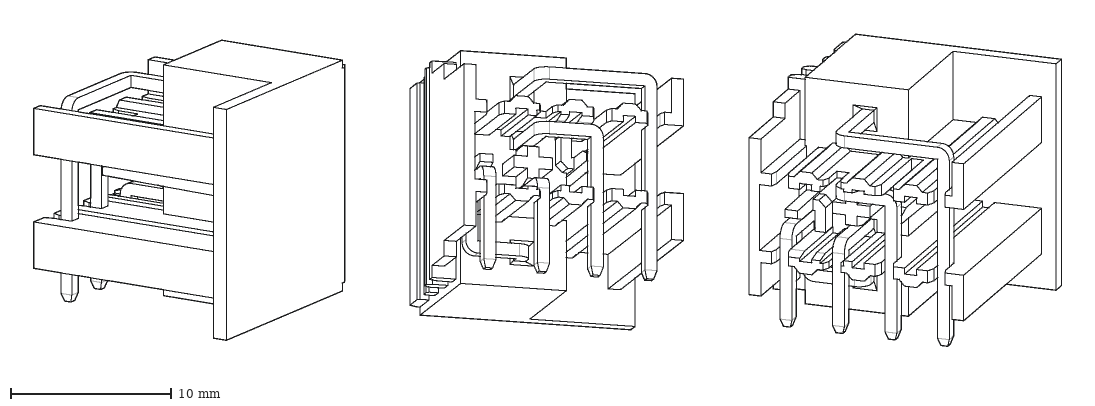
import cadquery as cq

LENGTH_X = 14.8
WIDTH_Y = 15.3
HEIGHT_Z = 14.96
MID_Z = HEIGHT_Z / 2

FLANGE_THICKNESS = 0.96
FLANGE_X = LENGTH_X - FLANGE_THICKNESS
BODY_FRONT_X = 5.88
BODY_Y = (6.87, 13.75)

PITCH = 3.5
PIN_SIZE = 0.8
CENTER_Y = 9.76
COLUMNS_Y = [CENTER_Y + PITCH * step for step in (1, 0, -1, -2)]
PIN_LEG_X = 1.55
PIN_TIP_HEIGHT = 0.52
PIN_TIP_SIZE = 0.46
ARCH_Z = 6.25
CONTACT_DEPTH = 0.76
FUNNEL_SIZE = 1.58
FUNNEL_DEPTH = 0.55

WALL = 0.8
WING_Y = 0.96
WING_INNER_Z = 2.17
WING_OUTER_Z = 5.19
PLATE_END_X = 6.93
PLATE_STEP_X = 4.3
PLATE_STEP_Z = 6.18
CHANNEL_RELIEF = 0.08
SLOT_FLARE = 0.21
OUTER_SLOT_FLARE = 0.14
SLOT_FLARE_LENGTH = 0.52

RIDGE_HEIGHT = 0.4
RIDGE_TOP = 0.83
RIDGE_BASE = 1.56
GROOVE_WIDTH = 0.8
GROOVE_DEPTH = 0.4
RAMP_LENGTH = 0.9
RAMP_DROP = 0.2

CROSS_X = 3.41
CROSS_THICKNESS = 0.76
CROSS_HALF_WIDTH = 1.25
CROSS_HALF_HEIGHT = 1.29
CROSS_TIP_HALF_HEIGHT = 1.03
CROSS_TAPER_LENGTH = 0.95
BLADE_X = 2.02
BLADE_WIDTH = 0.85
BLADE_HEIGHT = 0.81
BLADE_TIP_DROP = 0.29
BLADE_TAPER_LENGTH = 0.8
BLADE_SLOPE_DROP = 0.18
ARM_X = 4.7
ARM_WEB = 0.7
ARM_CHAMFER = 0.45
ARM_RISE = 0.09

TAB_WIDTH = 0.8
TAB_HALF_HEIGHT = 6.96
BLUNT_TAB_X = 8.69
SHORT_TAB_X = 10.77
END_TAB_X = 12.78
BLUNT_TAB_TIP_Y = 15.1
SHORT_TAB_TIP_Y = WIDTH_Y - WALL
SMALL_CHAMFER = (0.15, 0.15)
TABS = [
    ((PLATE_END_X, PLATE_END_X + TAB_WIDTH), WIDTH_Y, None, (0.25, 0.55)),
    ((BLUNT_TAB_X, BLUNT_TAB_X + TAB_WIDTH), BLUNT_TAB_TIP_Y, (0.14, 0.34), (0.28, 0.34)),
    ((SHORT_TAB_X, SHORT_TAB_X + TAB_WIDTH), SHORT_TAB_TIP_Y, SMALL_CHAMFER, SMALL_CHAMFER),
    ((END_TAB_X, LENGTH_X), SHORT_TAB_TIP_Y, SMALL_CHAMFER, (0.3, 0.52)),
]


def box(x_range, y_range, z_range):
    """Axis-aligned block between the given limits."""
    size = [high - low for low, high in (x_range, y_range, z_range)]
    corner = (x_range[0], y_range[0], z_range[0])
    return cq.Workplane("XY").box(*size, centered=False).translate(corner)


def around(center, size):
    return (center - size / 2, center + size / 2)


def extrude_x(points, start, end):
    """Prism along X from (y, z) points."""
    return cq.Workplane("YZ").polyline(points).close().extrude(end - start).translate((start, 0, 0))


def extrude_y(points, y_range):
    """Prism along Y from (x, z) points."""
    prism = cq.Workplane("XZ").polyline(points).close().extrude(y_range[0] - y_range[1])
    return prism.translate((0, y_range[0], 0))


def extrude_z(points, z_range):
    """Prism along Z from (x, y) points."""
    prism = cq.Workplane("XY").polyline(points).close().extrude(z_range[1] - z_range[0])
    return prism.translate((0, 0, z_range[0]))


def turned(shape):
    """Copy turned half a revolution about the X direction through the contact centre."""
    return shape.rotate((0, CENTER_Y, MID_Z), (1, CENTER_Y, MID_Z), 180)


def mirrored_z(shape):
    """Copy reflected about mid-height."""
    return shape.mirror("XY", (0, 0, MID_Z))


def upper_wing():
    """Upper wing of the -Y side, running from the free end to the flange."""
    return box((0, FLANGE_X), (WING_Y, WING_Y + WALL), (MID_Z + WING_INNER_Z, MID_Z + WING_OUTER_Z))


def flared_slot(column, end_x, flares, z_range):
    """Cutter for one pin slot, opening out at the free end by a flare on each side."""
    low, high = around(column, PIN_SIZE)
    outline = [
        (0, low - flares[0]),
        (SLOT_FLARE_LENGTH, low),
        (end_x, low),
        (end_x, high),
        (SLOT_FLARE_LENGTH, high),
        (0, high + flares[1]),
    ]
    return extrude_z(outline, z_range)


def upper_shelf(slot_ends):
    """Slotted plate with a ridge on its outer face and a groove on its inner face per strip.

    The slot ends are X positions, one per contact column.
    """
    z_low = MID_Z + WING_INNER_Z
    z_high = z_low + WALL
    plate_inner_y = WIDTH_Y - WALL
    shelf = box((0, FLANGE_X), (WING_Y, BODY_Y[0]), (z_low, z_high))
    shelf = shelf.union(box((0, PLATE_END_X), (BODY_Y[0], plate_inner_y), (z_low, z_high)))

    for strip in range(3):
        center = (COLUMNS_Y[strip] + COLUMNS_Y[strip + 1]) / 2
        ridge = [
            (center - RIDGE_BASE / 2, z_high),
            (center - RIDGE_TOP / 2, z_high + RIDGE_HEIGHT),
            (center + RIDGE_TOP / 2, z_high + RIDGE_HEIGHT),
            (center + RIDGE_BASE / 2, z_high),
        ]
        shelf = shelf.union(extrude_x(ridge, 0, FLANGE_X))
        groove = box((0, FLANGE_X), around(center, GROOVE_WIDTH), (z_low, z_low + GROOVE_DEPTH))
        shelf = shelf.cut(groove)

    for index, column in enumerate(COLUMNS_Y):
        flares = [SLOT_FLARE, SLOT_FLARE]
        if index == 3:
            flares[0] = OUTER_SLOT_FLARE
        if index == 0:
            flares[1] = OUTER_SLOT_FLARE
        shelf = shelf.cut(flared_slot(column, slot_ends[index], flares, (z_low, z_high)))
    return shelf


def lead_in_ramp():
    """Cutter for the ramp under the upper strip between the second and third columns."""
    z_low = MID_Z + WING_INNER_Z
    profile = [(0, z_low), (0, z_low + RAMP_DROP), (RAMP_LENGTH, z_low)]
    return extrude_y(profile, (COLUMNS_Y[2], COLUMNS_Y[1]))


def contact_notch():
    """Cutter clearing the upper shelf in front of the contact funnel."""
    z_low = MID_Z + WING_INNER_Z
    z_high = MID_Z + PITCH / 2 + FUNNEL_SIZE / 2
    return box((0, BODY_FRONT_X), around(CENTER_Y, FUNNEL_SIZE), (z_low, z_high))


def side_plate():
    """Stepped plate on the +Y side with a shallow channel between the shelves."""
    y_range = (WIDTH_Y - WALL, WIDTH_Y)
    plate = box((0, PLATE_END_X), y_range, around(MID_Z, 2 * WING_OUTER_Z))
    return plate.union(box((PLATE_STEP_X, PLATE_END_X), y_range, around(MID_Z, 2 * PLATE_STEP_Z)))


def channel():
    """Cutter for the clearance between side plate and body."""
    y_range = (BODY_Y[1] - CHANNEL_RELIEF, WIDTH_Y - WALL + CHANNEL_RELIEF)
    return box((0, PLATE_END_X), y_range, around(MID_Z, 2 * WING_INNER_Z))


def tab(x_range, tip_y, near_corner, far_corner):
    """Upright tab with chamfered tip corners; the low-X corner may stay square."""
    near_tip = [(x_range[0], tip_y)]
    if near_corner:
        near_tip = [(x_range[0], tip_y - near_corner[1]), (x_range[0] + near_corner[0], tip_y)]
    outline = [
        (x_range[0], BODY_Y[1]),
        *near_tip,
        (x_range[1] - far_corner[0], tip_y),
        (x_range[1], tip_y - far_corner[1]),
        (x_range[1], BODY_Y[1]),
    ]
    return extrude_z(outline, around(MID_Z, 2 * TAB_HALF_HEIGHT))


def funnel(center_z):
    """Square lead-in around a contact, narrowing into the body."""
    mouth = cq.Workplane("YZ", origin=(BODY_FRONT_X, CENTER_Y, center_z))
    mouth = mouth.rect(FUNNEL_SIZE, FUNNEL_SIZE)
    return mouth.workplane(offset=FUNNEL_DEPTH).rect(PIN_SIZE, PIN_SIZE).loft(ruled=True)


def below_upper_contact():
    """Zone under the upper inner contact, where its funnel is closed."""
    contact_bottom = MID_Z + PITCH / 2 - PIN_SIZE / 2
    return box((0, FLANGE_X), around(CENTER_Y, FUNNEL_SIZE), (MID_Z, contact_bottom))


def pin(corners):
    """Square wire through the corner points, rounded outside and sharp inside each bend."""
    points = [cq.Vector(*corner) for corner in corners]
    half = PIN_SIZE / 2
    last = len(points) - 2
    wire = None
    for index in range(last + 1):
        start, end = points[index], points[index + 1]
        direction = (end - start).normalized()
        low = start if index == 0 else start + direction * half
        high = end if index == last else end - direction * half
        side = (0, 1, 0) if direction.y == 0 else (0, 0, 1)
        section = cq.Workplane(cq.Plane(low.toTuple(), side, direction.toTuple()))
        leg = section.rect(PIN_SIZE, PIN_SIZE).extrude((high - low).Length)
        wire = leg if wire is None else wire.union(leg)
        if index < last:
            following = (points[index + 2] - end).normalized()
            inner = end + (following - direction) * half
            axis = direction.cross(following)
            cylinder = cq.Solid.makeCylinder(PIN_SIZE, PIN_SIZE, inner - axis * half, axis)
            cube = cq.Workplane("XY").box(PIN_SIZE, PIN_SIZE, PIN_SIZE).translate(end.toTuple())
            wire = wire.union(cube.intersect(cq.Workplane(cylinder)))
    tip = cq.Workplane("XY", origin=corners[0]).rect(PIN_SIZE, PIN_SIZE)
    tip = tip.workplane(offset=-PIN_TIP_HEIGHT).rect(PIN_TIP_SIZE, PIN_TIP_SIZE).loft(ruled=True)
    return wire.union(tip)


def cross_key():
    """Cross-shaped key in front of the body with a tapered vertical bar."""
    shoulder_x = CROSS_X + CROSS_TAPER_LENGTH
    vertical = [
        (CROSS_X, MID_Z - CROSS_TIP_HALF_HEIGHT),
        (CROSS_X, MID_Z + CROSS_TIP_HALF_HEIGHT),
        (shoulder_x, MID_Z + CROSS_HALF_HEIGHT),
        (BODY_FRONT_X, MID_Z + CROSS_HALF_HEIGHT),
        (BODY_FRONT_X, MID_Z - CROSS_HALF_HEIGHT),
        (shoulder_x, MID_Z - CROSS_HALF_HEIGHT),
    ]
    key = extrude_y(vertical, around(CENTER_Y, CROSS_THICKNESS))
    horizontal = box((CROSS_X, BODY_FRONT_X), around(CENTER_Y, 2 * CROSS_HALF_WIDTH),
                     around(MID_Z, CROSS_THICKNESS))
    return key.union(horizontal)


def polarising_arm():
    """Tapered blade in the third column, hung from the upper shelf by a chamfered web."""
    top = MID_Z + BLADE_HEIGHT
    bottom = MID_Z + ARM_RISE
    outer_y = COLUMNS_Y[2] - PIN_SIZE / 2
    inner_y = outer_y + BLADE_WIDTH
    profile = [
        (BLADE_X, MID_Z),
        (BLADE_X, top - BLADE_TIP_DROP),
        (BLADE_X + BLADE_TAPER_LENGTH, top),
        (FLANGE_X, top),
        (FLANGE_X, MID_Z - BLADE_SLOPE_DROP),
    ]
    blade = extrude_y(profile, (outer_y, inner_y))
    web_y = BODY_Y[0] + ARM_WEB
    web = [
        (inner_y, bottom),
        (web_y - ARM_CHAMFER, bottom),
        (web_y, bottom + ARM_CHAMFER),
        (web_y, MID_Z + WING_INNER_Z),
        (BODY_Y[0], MID_Z + WING_INNER_Z),
        (BODY_Y[0], top),
        (inner_y, top),
    ]
    return blade.union(extrude_x(web, ARM_X, FLANGE_X))


flange = box((FLANGE_X, LENGTH_X), (0, BODY_Y[1]), (0, HEIGHT_Z))
body = box((BODY_FRONT_X, FLANGE_X), BODY_Y, (0, HEIGHT_Z))
wing = upper_wing()
short_slot = PIN_LEG_X + PIN_SIZE / 2
top_shelf = upper_shelf((BODY_FRONT_X, short_slot, BODY_FRONT_X, short_slot))
bottom_shelf = mirrored_z(upper_shelf((BODY_FRONT_X, short_slot, short_slot, short_slot)))
ramp = lead_in_ramp()
notch = contact_notch()
arm = polarising_arm()

housing = flange.union(body).union(side_plate()).cut(channel())
housing = housing.union(wing).union(mirrored_z(wing))
housing = housing.union(top_shelf).union(bottom_shelf)
for cutter in (ramp, notch):
    housing = housing.cut(cutter).cut(turned(cutter))

row_offsets = (1.5 * PITCH, 0.5 * PITCH, -0.5 * PITCH, -1.5 * PITCH)
high_z, upper_z, lower_z, base_z = [MID_Z + offset for offset in row_offsets]
inner_funnel = funnel(upper_z).cut(below_upper_contact())
for opening in (funnel(high_z), inner_funnel, turned(inner_funnel), funnel(base_z)):
    housing = housing.cut(opening)

housing = housing.union(arm).union(turned(arm)).union(cross_key())

for x_range, tip_y, near_corner, far_corner in TABS:
    housing = housing.union(tab(x_range, tip_y, near_corner, far_corner))

contact_x = BODY_FRONT_X + CONTACT_DEPTH
drop_x = BODY_FRONT_X - PIN_SIZE / 2
first_y, second_y, third_y, fourth_y = COLUMNS_Y
pin_paths = [
    [
        (PIN_LEG_X, first_y, PIN_TIP_HEIGHT),
        (PIN_LEG_X, first_y, ARCH_Z),
        (drop_x, first_y, ARCH_Z),
        (drop_x, first_y, base_z),
        (drop_x, second_y, base_z),
        (contact_x, second_y, base_z),
    ],
    [
        (PIN_LEG_X, second_y, PIN_TIP_HEIGHT),
        (PIN_LEG_X, second_y, lower_z),
        (contact_x, second_y, lower_z),
    ],
    [
        (PIN_LEG_X, third_y, PIN_TIP_HEIGHT),
        (PIN_LEG_X, third_y, upper_z),
        (PIN_LEG_X, second_y, upper_z),
        (contact_x, second_y, upper_z),
    ],
    [
        (PIN_LEG_X, fourth_y, PIN_TIP_HEIGHT),
        (PIN_LEG_X, fourth_y, high_z),
        (PIN_LEG_X, second_y, high_z),
        (contact_x, second_y, high_z),
    ],
]

result = housing
for path in pin_paths:
    result = result.union(pin(path))